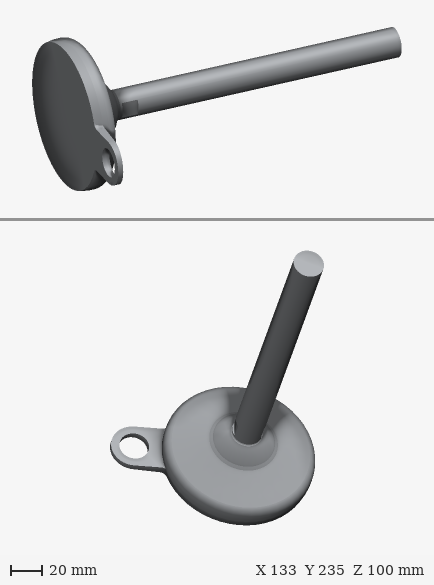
import cadquery as cq
import math

total_length = 235.0

rim_radius = 50.0
base_radius = 49.0
rim_bottom = 5.6
rim_top = 9.2
rim_round = 6.8
skirt_angle = math.radians(20)
skirt_inner_radius = 22.5
dome_radius = 20.5
dome_bottom = 25.4
dome_middle = (15.5, 30.5)
foot_top_radius = 10.3
foot_top = 33.8

lug_reach = 68.0
lug_radius = 15.0
lug_hole_diameter = 19.3
lug_tip_thickness = 3.5
lug_corner_radius = 4.7

stud_radius = 10.0
stud_tip_radius = 8.7
stud_taper_top = 35.5
flat_width = 17.0
flat_bottom = 37.0
flat_top = 48.2


def make_foot_disc():
    """Turned foot: tapered base, rounded rim, sloping skirt and dome."""
    round_center_x = rim_radius - rim_round
    skirt_outer = (
        round_center_x + rim_round * math.sin(skirt_angle),
        rim_top + rim_round * math.cos(skirt_angle),
    )
    round_middle_angle = (math.pi / 2 - skirt_angle) / 2
    round_middle = (
        round_center_x + rim_round * math.cos(round_middle_angle),
        rim_top + rim_round * math.sin(round_middle_angle),
    )
    skirt_run = skirt_outer[0] - skirt_inner_radius
    skirt_inner = (skirt_inner_radius, skirt_outer[1] + skirt_run * math.tan(skirt_angle))
    return (
        cq.Workplane("XY")
        .lineTo(base_radius, 0)
        .lineTo(rim_radius, rim_bottom)
        .lineTo(rim_radius, rim_top)
        .threePointArc(round_middle, skirt_outer)
        .lineTo(*skirt_inner)
        .lineTo(dome_radius, dome_bottom)
        .threePointArc(dome_middle, (foot_top_radius, foot_top))
        .lineTo(0, foot_top)
        .close()
        .revolve(360, (0, 0, 0), (0, 1, 0))
    )


def make_lug():
    """Flat lug with a round end, thinning outwards, blended into the foot by round corners."""
    corner_z = lug_radius + lug_corner_radius
    corner_distance = base_radius + lug_corner_radius
    corner_x = math.sqrt(corner_distance**2 - corner_z**2)
    touch_ratio = base_radius / corner_distance
    touch_x = corner_x * touch_ratio
    touch_z = corner_z * touch_ratio
    corner_angle = math.atan2(corner_z, corner_x)
    middle_angle = (math.pi / 2 + corner_angle) / 2
    middle_x = corner_x - lug_corner_radius * math.cos(middle_angle)
    middle_z = corner_z - lug_corner_radius * math.sin(middle_angle)
    tip_x = lug_reach + lug_radius

    outline = (
        cq.Workplane("XZ")
        .lineTo(touch_x, touch_z)
        .threePointArc((middle_x, middle_z), (corner_x, lug_radius))
        .lineTo(lug_reach, lug_radius)
        .threePointArc((tip_x, 0), (lug_reach, -lug_radius))
        .lineTo(corner_x, -lug_radius)
        .threePointArc((middle_x, -middle_z), (touch_x, -touch_z))
        .close()
        .extrude(-rim_bottom)
    )
    thickness_wedge = (
        cq.Workplane("XY")
        .polyline([(0, 0), (tip_x, 0), (tip_x, lug_tip_thickness), (rim_radius, rim_bottom), (0, rim_bottom)])
        .close()
        .extrude(corner_z, both=True)
    )
    hole = (
        cq.Workplane("XZ")
        .center(lug_reach, 0)
        .circle(lug_hole_diameter / 2)
        .extrude(-rim_bottom)
    )
    return outline.intersect(thickness_wedge).cut(hole)


def make_foot():
    return make_foot_disc().union(make_lug())


def make_stud():
    """Round stud with a tapered lower end and two spanner flats facing -X and +X."""
    stud = (
        cq.Workplane("XY")
        .moveTo(0, foot_top)
        .lineTo(stud_tip_radius, foot_top)
        .lineTo(stud_radius, stud_taper_top)
        .lineTo(stud_radius, total_length)
        .lineTo(0, total_length)
        .close()
        .revolve(360, (0, 0, 0), (0, 1, 0))
    )
    flat_length = flat_top - flat_bottom
    for side in (-1, 1):
        cutter = (
            cq.Workplane("XY")
            .box(stud_radius, flat_length, 2 * stud_radius)
            .translate((side * (flat_width + stud_radius) / 2, flat_bottom + flat_length / 2, 0))
        )
        stud = stud.cut(cutter)
    return stud


foot = make_foot()
stud = make_stud()
result = cq.Compound.makeCompound([foot.val(), stud.val()])